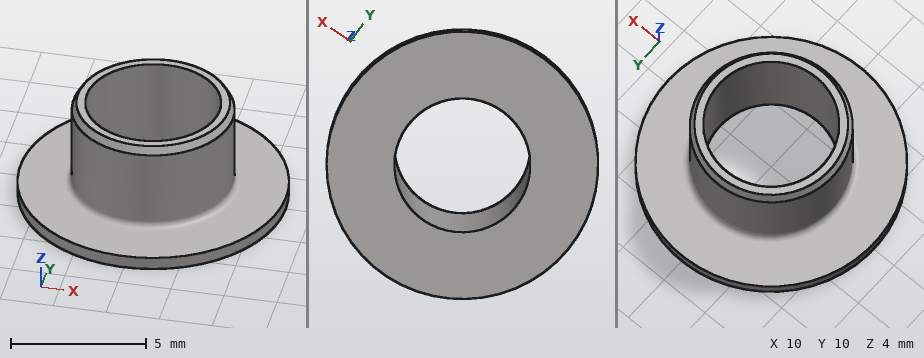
import cadquery as cq
import math

flange_diameter = 10
flange_thickness = 0.5
sleeve_diameter = 6
bore_diameter = 5
total_height = 4
root_fillet_radius = 0.25
chamfer_height = 0.3
chamfer_angle = 30

flange_radius = flange_diameter / 2
sleeve_radius = sleeve_diameter / 2
bore_radius = bore_diameter / 2
chamfer_width = chamfer_height * math.tan(math.radians(chamfer_angle))

fillet_outer_radius = sleeve_radius + root_fillet_radius
fillet_top = flange_thickness + root_fillet_radius
fillet_mid_offset = root_fillet_radius * (1 - math.sqrt(0.5))
fillet_midpoint = (sleeve_radius + fillet_mid_offset, flange_thickness + fillet_mid_offset)

half_section = (
    cq.Workplane("XZ")
    .moveTo(bore_radius, 0)
    .lineTo(flange_radius, 0)
    .lineTo(flange_radius, flange_thickness)
    .lineTo(fillet_outer_radius, flange_thickness)
    .threePointArc(fillet_midpoint, (sleeve_radius, fillet_top))
    .lineTo(sleeve_radius, total_height - chamfer_height)
    .lineTo(sleeve_radius - chamfer_width, total_height)
    .lineTo(bore_radius, total_height)
    .close()
)

result = half_section.revolve(360, (0, 0, 0), (0, 1, 0))